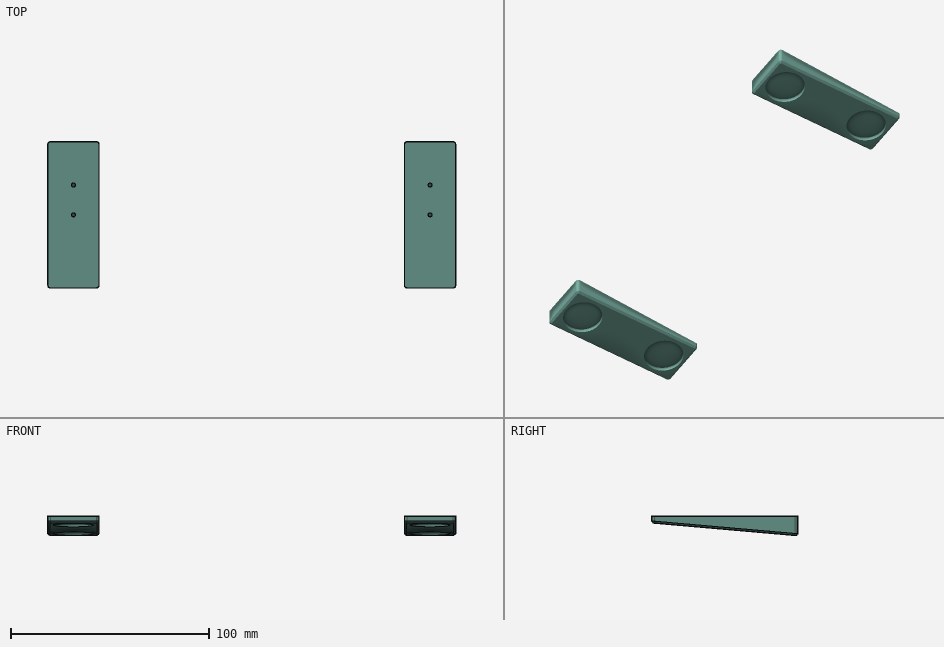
import cadquery as cq
import math

OVERALL_WIDTH = 206.0
FOOT_WIDTH = 26.0
FOOT_LENGTH = 74.0
FOOT_HEIGHT = 9.9
SLOPE_ANGLE = 5.0
CORNER_RADIUS = 1.5
EDGE_CHAMFER = 1.0

SCREW_HOLE_DIAMETER = 2.0
SCREW_HOLE_DEPTH = 2.0
SCREW_HOLE_SPACING = 15.0

RECESS_DIAMETER = 20.0
RECESS_DEPTH = 2.0
RECESS_OFFSET = 25.0

SLOPE = math.tan(math.radians(SLOPE_ANGLE))
THICK_END = FOOT_HEIGHT + EDGE_CHAMFER * SLOPE
THIN_END = THICK_END - FOOT_LENGTH * SLOPE
MIDDLE_HEIGHT = (THICK_END + THIN_END) / 2
FOOT_SPACING = OVERALL_WIDTH - FOOT_WIDTH


def make_wedge():
    """Wedge with a flat top at Z = 0, a sloping underside, rounded corners and a chamfered lower rim."""
    half_length = FOOT_LENGTH / 2
    wedge = (
        cq.Workplane("YZ")
        .moveTo(-half_length, 0)
        .lineTo(half_length, 0)
        .lineTo(half_length, -THICK_END)
        .lineTo(-half_length, -THIN_END)
        .close()
        .extrude(FOOT_WIDTH / 2, both=True)
    )
    rounded = wedge.edges("|Z").fillet(CORNER_RADIUS)
    return rounded.faces("<Z").edges().chamfer(EDGE_CHAMFER)


def make_screw_holes():
    """Cutters for the two vertical blind holes in the top."""
    return (
        cq.Workplane("XY")
        .pushPoints([(0, 0), (0, SCREW_HOLE_SPACING)])
        .circle(SCREW_HOLE_DIAMETER / 2)
        .extrude(-SCREW_HOLE_DEPTH)
    )


def make_recesses():
    """Cutters for the two round blind recesses, square to the sloping underside."""
    underside = cq.Plane(origin=(0, 0, -MIDDLE_HEIGHT), xDir=(1, 0, 0), normal=(0, SLOPE, 1))
    return (
        cq.Workplane(underside)
        .pushPoints([(0, -RECESS_OFFSET), (0, RECESS_OFFSET)])
        .circle(RECESS_DIAMETER / 2)
        .extrude(RECESS_DEPTH)
    )


foot = make_wedge().cut(make_screw_holes()).cut(make_recesses())

feet = []
for side in (-1, 1):
    placed_foot = foot.translate((side * FOOT_SPACING / 2, 0, 0))
    feet.append(placed_foot.val())

result = cq.Compound.makeCompound(feet)